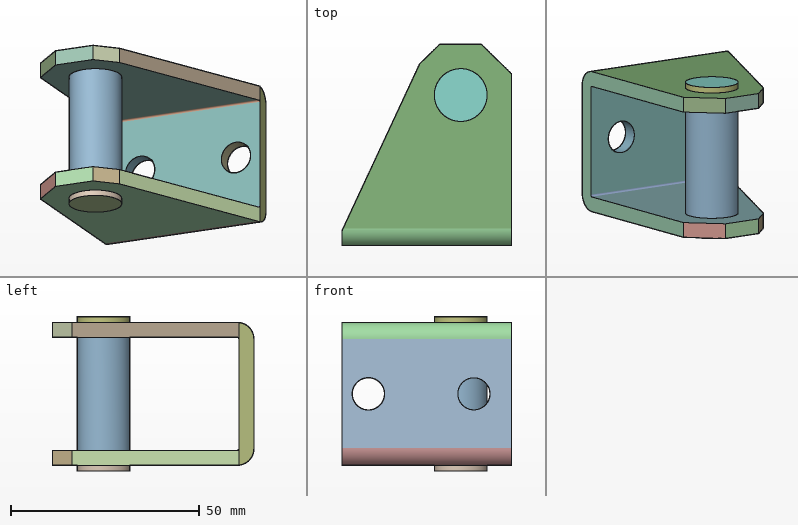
import cadquery as cq

width = 45.0
depth = 53.5
bracket_height = 38.0
thickness = 4.0
outer_bend_radius = 4.5
inner_bend_radius = outer_bend_radius - thickness

pin_length = 41.0
pin_diameter = 14.0
pin_x = 31.5
pin_y = 39.95

hole_diameter = 8.5
hole_spacing = 28.0
first_hole_x = 7.0

taper_end = (20.6, 48.25)
tip_left_x = 26.0
tip_right_x = 36.9
right_corner_y = 45.65


def box_between(y_start, y_end, height):
    """Full-width block centred on z = 0."""
    return (
        cq.Workplane("XY")
        .box(width, y_end - y_start, height, centered=(False, False, True))
        .translate((0, y_start, 0))
    )


def bent_channel():
    """U-shaped sheet with rounded bends, open toward +Y."""
    outer = box_between(0, depth, bracket_height).edges("|X and <Y").fillet(outer_bend_radius)
    inner_height = bracket_height - 2 * thickness
    inner = box_between(thickness, depth, inner_height).edges("|X and <Y").fillet(inner_bend_radius)
    return outer.cut(inner)


def ear_outline():
    """Tapered plan shape shared by both ears."""
    return (
        cq.Workplane("XY")
        .workplane(offset=-bracket_height / 2)
        .polyline([
            (0, 0),
            (0, thickness),
            taper_end,
            (tip_left_x, depth),
            (tip_right_x, depth),
            (width, right_corner_y),
            (width, 0),
        ])
        .close()
        .extrude(bracket_height)
    )


def mounting_holes():
    """Two holes through the mounting plate only."""
    return (
        cq.Workplane("XZ")
        .pushPoints([(first_hole_x, 0), (first_hole_x + hole_spacing, 0)])
        .circle(hole_diameter / 2)
        .extrude(-thickness)
    )


def pin():
    """Round pin crossing both ears and standing proud of them."""
    return (
        cq.Workplane("XY")
        .center(pin_x, pin_y)
        .circle(pin_diameter / 2)
        .extrude(pin_length / 2, both=True)
    )


result = bent_channel().intersect(ear_outline()).cut(mounting_holes()).union(pin())